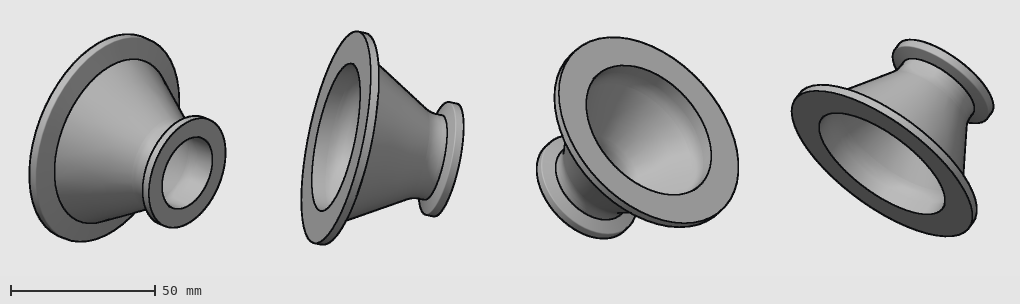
import cadquery as cq
import math

length = 40.0
cone_angle = math.radians(30)
bend_radius = 10.0

large_flange_radius = 37.5
large_bore_radius = 26.1
large_hub_radius = 30.0
large_bore_depth = 5.0

small_flange_radius = 20.0
small_bore_radius = 13.1
small_tube_radius = 15.0

rim_width = 2.7
rim_round = 0.45
clamp_angle = math.radians(15)

bend_length = bend_radius * math.sin(cone_angle)
bend_drop = bend_radius * (1 - math.cos(cone_angle))
half_bend_length = bend_radius * math.sin(cone_angle / 2)
half_bend_drop = bend_radius * (1 - math.cos(cone_angle / 2))

round_turn = math.pi / 2 - clamp_angle
round_width = rim_round * math.sin(round_turn)
round_drop = rim_round * (1 - math.cos(round_turn))
half_round_width = rim_round * math.sin(round_turn / 2)
half_round_drop = rim_round * (1 - math.cos(round_turn / 2))

rim_thickness = rim_width + round_width
large_back_height = large_flange_radius - round_drop - large_hub_radius
large_hub_x = rim_thickness + large_back_height * math.tan(clamp_angle)
small_back_height = small_flange_radius - round_drop - small_tube_radius
small_flange_thickness = rim_thickness + small_back_height * math.tan(clamp_angle)


def cone_run(radius_change):
    """Axial length over which the cone changes radius by the given amount."""
    return radius_change / math.tan(cone_angle)


outer_bend_radius = small_tube_radius + bend_drop
outer_bend_x = large_hub_x + cone_run(large_hub_radius - outer_bend_radius)
outer_bend_end_x = outer_bend_x + bend_length

inner_cone_start_x = large_bore_depth + bend_length
inner_cone_start_radius = large_bore_radius - bend_drop
inner_cone_end_radius = small_bore_radius + bend_drop
inner_cone_end_x = inner_cone_start_x + cone_run(inner_cone_start_radius - inner_cone_end_radius)
inner_bend_end_x = inner_cone_end_x + bend_length

small_rim_x = length - rim_width

profile = (
    cq.Workplane("XY")
    .moveTo(0, large_bore_radius)
    .lineTo(0, large_flange_radius)
    .lineTo(rim_width, large_flange_radius)
    .threePointArc(
        (rim_width + half_round_width, large_flange_radius - half_round_drop),
        (rim_width + round_width, large_flange_radius - round_drop),
    )
    .lineTo(large_hub_x, large_hub_radius)
    .lineTo(outer_bend_x, outer_bend_radius)
    .threePointArc(
        (outer_bend_end_x - half_bend_length, small_tube_radius + half_bend_drop),
        (outer_bend_end_x, small_tube_radius),
    )
    .lineTo(length - small_flange_thickness, small_tube_radius)
    .lineTo(small_rim_x - round_width, small_flange_radius - round_drop)
    .threePointArc(
        (small_rim_x - half_round_width, small_flange_radius - half_round_drop),
        (small_rim_x, small_flange_radius),
    )
    .lineTo(length, small_flange_radius)
    .lineTo(length, small_bore_radius)
    .lineTo(inner_bend_end_x, small_bore_radius)
    .threePointArc(
        (inner_bend_end_x - half_bend_length, small_bore_radius + half_bend_drop),
        (inner_cone_end_x, inner_cone_end_radius),
    )
    .lineTo(inner_cone_start_x, inner_cone_start_radius)
    .threePointArc(
        (large_bore_depth + half_bend_length, large_bore_radius - half_bend_drop),
        (large_bore_depth, large_bore_radius),
    )
    .close()
)

result = profile.revolve(360, (0, 0, 0), (1, 0, 0))